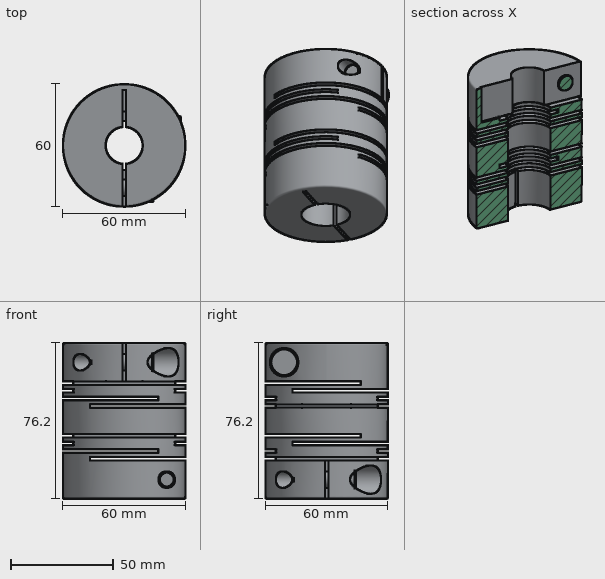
import cadquery as cq

length = 76.2
diameter = 60.0
radius = diameter / 2
rim_fillet = 1.0
upper_bore_radius = 9.0
lower_bore_radius = 12.0

slot_width = 1.6
slot_pitch = 3.7
group_pitch = 25.75
web_offset = 16.6
slot_directions = (-90, 90, 180, 0)
group_height = (len(slot_directions) - 1) * slot_pitch + slot_width
hub_height = (length - group_pitch - group_height) / 2

slit_width = 1.6
slit_end_wall = 3.0

screw_offset = 20.8
screw_height = length - hub_height / 2
screw_radius = 4.05
head_radius = 6.9
head_length = 2 * screw_radius
head_end = 14.3
head_start = head_end - head_length
shank_length = 22.9
tip_position = head_start - shank_length
screw_chamfer = 0.6


def body():
    """Cylinder with rounded rims and a stepped bore."""
    cylinder = cq.Workplane("XY").circle(radius).extrude(length)
    cylinder = cylinder.faces("<Z or >Z").edges().fillet(rim_fillet)
    upper_bore = cq.Workplane("XY").circle(upper_bore_radius).extrude(length)
    lower_bore = cq.Workplane("XY").circle(lower_bore_radius).extrude(length - hub_height)
    return cylinder.cut(upper_bore).cut(lower_bore)


def flexure_slot(top, direction):
    """Horizontal saw cut from the side at the given angle, past the axis to the web."""
    cut = cq.Workplane("XY").box(
        radius + web_offset, diameter, slot_width, centered=(False, True, False)
    )
    cut = cut.translate((-web_offset, 0, top - slot_width))
    return cut.rotate((0, 0, 0), (0, 0, 1), direction)


def rod_along_x(rod_radius, start, end):
    """Cylinder on the axis of the upper clamp screw."""
    plane = cq.Workplane("YZ", origin=(start, -screw_offset, screw_height))
    return plane.circle(rod_radius).extrude(end - start)


def clamp_cuts():
    """Slit, screw hole and head counterbore of the upper hub, where the slit opens toward -Y."""
    slit = cq.Workplane("XY").box(
        slit_width, diameter - slit_end_wall, hub_height, centered=(True, False, False)
    )
    slit = slit.translate((0, -radius, length - hub_height))
    hole = rod_along_x(screw_radius, -radius, head_start)
    counterbore = rod_along_x(head_radius, head_start, radius)
    return slit.union(hole).union(counterbore)


def clamp_screw():
    """Screw of the upper hub, filling its hole and pointing toward -X."""
    shank = rod_along_x(screw_radius, tip_position, head_start)
    shank = shank.faces("<X").edges().chamfer(screw_chamfer)
    head = rod_along_x(head_radius, head_start, head_end)
    head = head.faces(">X").edges().chamfer(screw_chamfer)
    return shank.union(head)


def to_lower_hub(shape):
    """Mirror an upper hub feature to the lower hub and turn it a quarter turn."""
    mirrored = shape.mirror("XY", (0, 0, length / 2))
    return mirrored.rotate((0, 0, 0), (0, 0, 1), 90)


coupling = body()

upper_group_top = length - hub_height
for group_top in (upper_group_top, upper_group_top - group_pitch):
    for index, direction in enumerate(slot_directions):
        coupling = coupling.cut(flexure_slot(group_top - index * slot_pitch, direction))

cuts = clamp_cuts()
screw = clamp_screw()
coupling = coupling.cut(cuts).cut(to_lower_hub(cuts))
result = coupling.union(screw).union(to_lower_hub(screw))